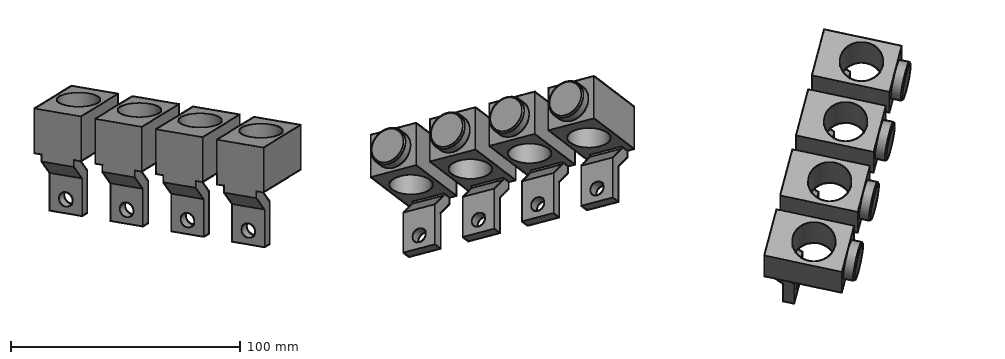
import cadquery as cq
import math

terminal_count = 4
row_length = 113.1

block_width = 23.1
block_depth = 34.8
block_height = 20.7
pitch = (row_length - block_width) / (terminal_count - 1)

bore_diameter = 19.0
bore_center_y = 19.6

head_diameter = 17.4
head_length = 5.0
head_chamfer = 0.7

tab_width = 16.1
tab_thickness = 5.1
tab_drop = 28.2
tab_setback = 7.6
tab_upper_straight = 3.2
bend_angle = 45.0

tab_hole_diameter = 6.7
tab_hole_above_end = 6.5


def make_block():
    return cq.Workplane("XY").box(block_width, block_depth, block_height, centered=(True, False, False))


def make_screw_head():
    return (
        cq.Workplane("XZ", origin=(0, block_depth, block_height / 2))
        .circle(head_diameter / 2)
        .extrude(-head_length)
        .faces(">Y")
        .chamfer(head_chamfer)
    )


def make_tab():
    miter_shift = tab_thickness * math.tan(math.radians(bend_angle / 2))
    upper_bend_z = -tab_upper_straight
    lower_bend_z = upper_bend_z - tab_setback / math.tan(math.radians(bend_angle))
    tab_rear_y = tab_setback + tab_thickness
    profile = [
        (0, 0),
        (0, upper_bend_z),
        (tab_setback, lower_bend_z),
        (tab_setback, -tab_drop),
        (tab_rear_y, -tab_drop),
        (tab_rear_y, lower_bend_z + miter_shift),
        (tab_thickness, upper_bend_z + miter_shift),
        (tab_thickness, 0),
    ]
    strip = cq.Workplane("YZ").polyline(profile).close().extrude(tab_width / 2, both=True)
    hole = (
        cq.Workplane("XZ", origin=(0, tab_setback, tab_hole_above_end - tab_drop))
        .circle(tab_hole_diameter / 2)
        .extrude(-tab_thickness)
    )
    return strip.cut(hole)


def make_terminal():
    bore = cq.Workplane("XY").center(0, bore_center_y).circle(bore_diameter / 2).extrude(block_height)
    return make_block().cut(bore).union(make_screw_head()).union(make_tab())


terminal = make_terminal()
first_x = -(terminal_count - 1) * pitch / 2
terminals = []
for index in range(terminal_count):
    placed = terminal.translate((first_x + index * pitch, 0, 0))
    terminals.append(placed.solids().val())

result = cq.Compound.makeCompound(terminals)